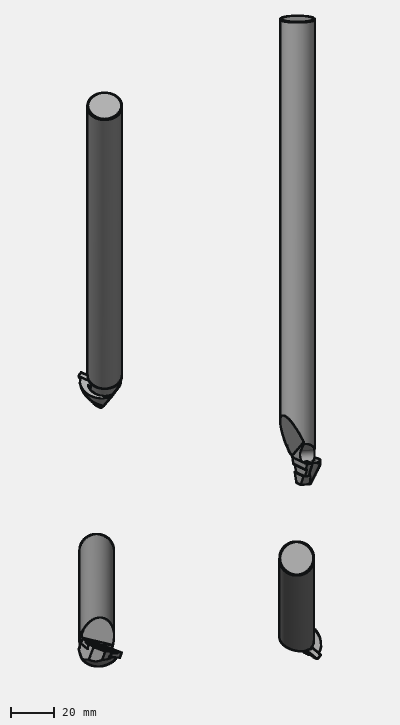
import cadquery as cq
import math

length = 215.3
shank_radius = 8.0
end_chamfer = 0.5
neck_radius = 7.8
neck_top = 16.4

head_top = 11.0
head_radius = 10.0
head_center_x = -1.5
tip_x = -12.3
tip_bottom_x = -4.5

cone_center_x = 0.5
cone_bottom_radius = 6.2
cone_slope = 0.5

relief_bottom_x = 1.5
relief_top_z = 13.1

groove_floor_x = -3.2
groove_radius = 2.8

slope_center_z = 15.7
slope_z_per_y = 2.0
slope_z_per_x = -0.6

insert_thickness = 2.5
insert_bottom = 4.5
insert_overhang = 0.32
chipbreaker_top = 8.0
chipbreaker_depth = 0.6

reach = 43.0


def flank_x(z):
    """Left flank of the cutting edge at height z."""
    return tip_bottom_x + (tip_x - tip_bottom_x) * z / head_top


def relief_x(z):
    """Right-hand relief plane at height z."""
    return relief_bottom_x + (neck_radius - relief_bottom_x) * z / relief_top_z


def extrude_along_y(points, y_min, y_max):
    """Solid with an XZ outline, between two Y positions."""
    return cq.Workplane("XZ", origin=(0, y_max, 0)).polyline(points).close().extrude(y_max - y_min)


def make_shank():
    shank = cq.Workplane("XY", origin=(0, 0, neck_top)).circle(shank_radius).extrude(length - neck_top)
    shank = shank.faces(">Z").chamfer(end_chamfer)
    neck = cq.Workplane("XY").circle(neck_radius).extrude(neck_top)
    return shank.union(neck)


def make_chip_groove():
    """Open to the left, with a 45 degree roof that runs into a rounded floor."""
    center_x = groove_floor_x - groove_radius
    center_z = head_top + groove_radius
    diagonal = groove_radius * math.sqrt(0.5)
    roof_start = (center_x + diagonal, center_z + diagonal)
    return (
        cq.Workplane("XZ", origin=(0, reach, 0))
        .moveTo(center_x - reach, head_top)
        .lineTo(center_x, head_top)
        .threePointArc((groove_floor_x, center_z), roof_start)
        .lineTo(roof_start[0] - reach, roof_start[1] + reach)
        .close()
        .extrude(2 * reach)
    )


def make_head():
    """Eccentric cylinder with a tangent 45 degree flat, tapered below by the cone."""
    diagonal = head_radius * math.sqrt(0.5)
    tangent_x = head_center_x - diagonal
    tangent_y = -diagonal
    outline = (
        cq.Workplane("XY")
        .moveTo(head_center_x + head_radius, 0)
        .threePointArc((head_center_x, -head_radius), (tangent_x, tangent_y))
        .lineTo(tip_x, tangent_y + tangent_x - tip_x)
        .lineTo(tip_x, 0)
        .close()
        .extrude(head_top)
    )
    cone = (
        cq.Workplane("XY", origin=(cone_center_x, 0, 0))
        .circle(cone_bottom_radius)
        .workplane(offset=head_top)
        .circle(cone_bottom_radius + cone_slope * head_top)
        .loft()
    )
    return outline.intersect(cone)


def make_side_envelope():
    """Everything between the left flank and the right-hand relief plane."""
    points = [
        (flank_x(0) + insert_overhang, 0),
        (relief_x(0), 0),
        (relief_x(relief_top_z), relief_top_z),
        (reach, relief_top_z),
        (reach, length),
        (-reach, length),
        (-reach, head_top),
        (flank_x(head_top) + insert_overhang, head_top),
    ]
    return extrude_along_y(points, -reach, reach)


def make_front_cut():
    """Material removed beyond Y = 0 and below the sloping face."""
    normal = cq.Vector(slope_z_per_x, slope_z_per_y, -1)
    along_slope = cq.Vector(0, 1, slope_z_per_y)
    slope = cq.Plane(origin=(0, 0, slope_center_z), xDir=along_slope, normal=normal)
    below_slope = cq.Workplane(slope).rect(2 * reach, 2 * reach).extrude(reach)
    beyond_flat = cq.Workplane("XY").box(2 * reach, reach, 2 * reach, centered=(True, False, True))
    return below_slope.intersect(beyond_flat)


def make_insert():
    """Cutting plate with a sunken chipbreaker along the lower part of its face."""
    points = [
        (flank_x(insert_bottom), insert_bottom),
        (relief_x(insert_bottom), insert_bottom),
        (relief_x(head_top), head_top),
        (tip_x, head_top),
    ]
    plate = extrude_along_y(points, -insert_thickness, 0)
    chipbreaker = cq.Workplane("XY").box(2 * reach, 2 * chipbreaker_depth, 2 * chipbreaker_top)
    return plate.cut(chipbreaker)


def make_insert_pocket():
    """Recess for the insert, open to the left, right and +Y sides."""
    points = [
        (-reach, insert_bottom),
        (relief_x(insert_bottom), insert_bottom),
        (relief_x(head_top), head_top),
        (-reach, head_top),
    ]
    return extrude_along_y(points, -insert_thickness, 0)


bar = make_shank().cut(make_chip_groove())
below_head = cq.Workplane("XY").circle(reach).extrude(head_top)
bar = bar.cut(below_head).union(make_head())
bar = bar.intersect(make_side_envelope()).cut(make_front_cut()).cut(make_insert_pocket())
insert = make_insert()

result = cq.Compound.makeCompound([bar.val(), insert.val()])